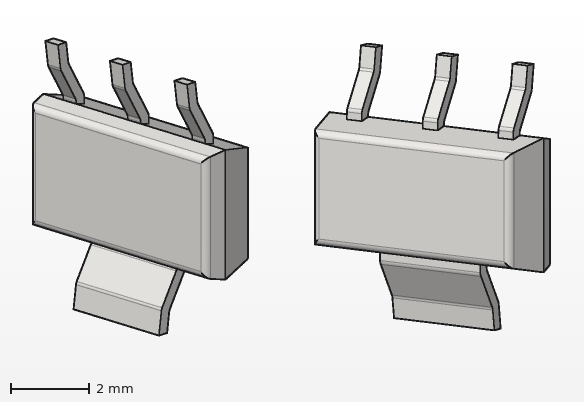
import cadquery as cq
import math

body_width = 6.5
body_height = 3.5
front_depth = 0.6
back_depth = 1.2
draft_angle = 13.0
body_edge_radius = 0.2

overall_height = 7.0
strip_thickness = 0.3
strip_bend_radius = 0.2
strip_embed = 0.35
selection_margin = 0.07
lead_width = 0.455
lead_pitch = 2.3
tab_width = 3.05

foot_overhang = 0.06
foot_height = 0.69
knee_above_body = 0.105
foot_angle = math.radians(8.0)

tip_z = overall_height / 2
foot_z = tip_z - foot_height
knee_z = body_height / 2 + knee_above_body
root_z = body_height / 2 - strip_embed
tip_y = -(front_depth + foot_overhang)
foot_y = tip_y + foot_height * math.tan(foot_angle)
shin_angle = math.atan2(-foot_y, foot_z - knee_z)


def body_half(depth, face):
    """Tapered half of the body, from the parting plane to a rounded outer face."""
    half = cq.Workplane("XZ").rect(body_width, body_height).extrude(depth, taper=draft_angle)
    return half.faces(face).edges().fillet(body_edge_radius)


def back_of_bend(y, z, lower_angle, upper_angle):
    """Back corner of a bend, one strip thickness behind both front faces."""
    mean_angle = (lower_angle + upper_angle) / 2
    half_turn = (upper_angle - lower_angle) / 2
    miter = strip_thickness / math.cos(half_turn)
    return (y + miter * math.cos(mean_angle), z + miter * math.sin(mean_angle))


def strip(width, x_center):
    """Upward strip: straight root, slanted shin and nearly upright foot."""
    back_knee = back_of_bend(0, knee_z, 0, shin_angle)
    back_foot = back_of_bend(foot_y, foot_z, shin_angle, foot_angle)
    outline = [
        (0, root_z),
        (0, knee_z),
        (foot_y, foot_z),
        (tip_y, tip_z),
        (tip_y + strip_thickness / math.cos(foot_angle), tip_z),
        back_foot,
        back_knee,
        (strip_thickness, root_z),
    ]
    solid = cq.Workplane("YZ").polyline(outline).close().extrude(width / 2, both=True)
    bend_zone = cq.selectors.BoxSelector(
        (-width, tip_y - selection_margin, root_z + selection_margin),
        (width, strip_thickness + selection_margin, tip_z - selection_margin),
    )
    bends = solid.edges(bend_zone).edges("|X")
    return bends.fillet(strip_bend_radius).translate((x_center, 0, 0))


body = body_half(front_depth, "<Y").union(body_half(-back_depth, ">Y"))

for position in (-1, 0, 1):
    body = body.union(strip(lead_width, position * lead_pitch))

tab = strip(tab_width, 0).mirror("XY")
result = body.union(tab)